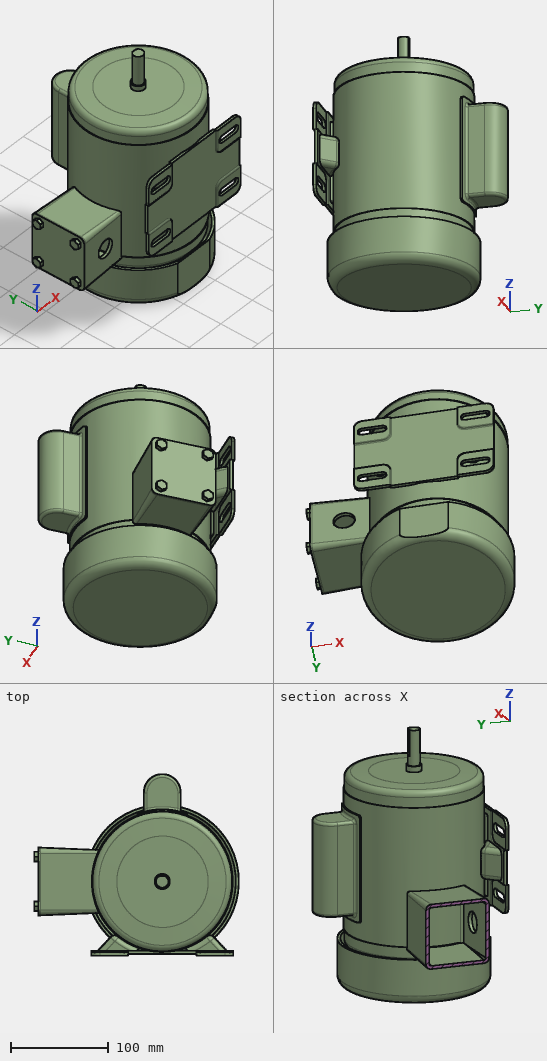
import cadquery as cq
import math


frame_radius = 72.4
frame_bottom = 59.8
frame_top = 209.1
bell_radius = 71.6
bell_straight = 11.3
bell_edge_height = 6.6
bell_cone_radius = 65.3
bell_cone_rise = 0.9
bell_face_radius = 46.9

shaft_radius = 6.35
shaft_top = 272.29
shaft_flat_offset = 5.5
shaft_flat_length = 28.0
collar_radius = 7.9
collar_top = 234.2

cover_radius = 78.7
cover_height = 48.3
cover_edge_radius = 9.8
cover_wall = 3.2
cover_flat_wall = 2.2
cover_flat_offset = 74.5

base_center_z = 136.0
base_width = 145.9
base_length = 101.6
base_corner_radius = 9.0
base_front_y = -74.4
base_thickness = 3.4
base_back_y = base_front_y + base_thickness
foot_front_y = -76.2
foot_drop = base_front_y - foot_front_y
foot_inner_x = 35.1
foot_inner_z = 18.7
foot_corner_radius = 8.5
foot_bend_radius = 0.85
slot_spacing_x = 108.0
slot_spacing_z = 69.85
slot_length = 30.0
slot_width = 9.3

saddle_length = 34.6
saddle_slope = 47.0
saddle_ridge_radius = 6.0
saddle_edge_radius = 5.8
saddle_foot_x = 66.1
strip_length = 87.6
strip_ridge_radius = 1.6
strip_edge_radius = 1.5
strip_foot_x = 26.0

box_center_z = 87.6
box_size = 69.8
box_corner_radius = 6.0
box_draft = 2.4
box_lid_outer_x = -127.1
box_lid_thickness = 2.0
box_wall = 4.0
box_inner_x = -68.0
conduit_hole_x = -91.5
conduit_hole_diameter = 22.4
screw_spacing = 50.8
screw_head_height = 4.4
screw_across_flats = 10.2
hex_sides = 6

cap_half_width = 19.0
cap_top_y = 110.24
cap_end_radius = 3.2
cap_flange_overhang = 6.8
cap_flange_thickness = 1.7
cap_flange_corner_radius = 3.5
cap_root_radius = 2.8

pick_margin = 0.1


def centered_box(x_size, z_size, y_from, y_to, x=0.0, z=base_center_z):
    """Block given by its X and Z sizes, its centre and its Y range."""
    block = cq.Workplane("XY").box(x_size, y_to - y_from, z_size)
    return block.translate((x, (y_from + y_to) / 2, z))


def end_bell():
    """Dished cap rising from Z = 0, with a rounded rim and a shallow conical face."""
    rim_z = bell_straight + bell_edge_height
    face_z = rim_z + bell_cone_rise
    arc_mid_x = bell_cone_radius + (bell_radius - bell_cone_radius) * math.sin(math.pi / 4)
    arc_mid_z = bell_straight + bell_edge_height * math.sin(math.pi / 4)
    return (
        cq.Workplane("XZ")
        .lineTo(bell_radius, 0)
        .lineTo(bell_radius, bell_straight)
        .threePointArc((arc_mid_x, arc_mid_z), (bell_cone_radius, rim_z))
        .lineTo(bell_face_radius, face_z)
        .lineTo(0, face_z)
        .close()
        .revolve(360, (0, 0, 0), (0, 1, 0))
    )


def frame():
    """Cylindrical frame with matching end bells at both ends."""
    barrel = (
        cq.Workplane("XY").workplane(offset=frame_bottom)
        .circle(frame_radius).extrude(frame_top - frame_bottom)
    )
    upper_bell = end_bell().translate((0, 0, frame_top))
    lower_bell = end_bell().mirror("XY").translate((0, 0, frame_bottom))
    return barrel.union(upper_bell).union(lower_bell)


def shaft():
    """Shaft and collar; the flat stops short of the collar."""
    body = (
        cq.Workplane("XY").workplane(offset=frame_top)
        .circle(shaft_radius).extrude(shaft_top - frame_top)
    )
    flat_cut = centered_box(
        2 * shaft_radius, shaft_flat_length, shaft_flat_offset, shaft_radius,
        z=shaft_top - shaft_flat_length / 2,
    )
    collar = (
        cq.Workplane("XY").workplane(offset=frame_top)
        .circle(collar_radius).extrude(collar_top - frame_top)
    )
    return body.cut(flat_cut).union(collar)


def foot_block(y_from, y_to, side_x, side_z, overrun):
    """Corner region of the base with a rounded inner corner; overrun extends its outer sides."""
    x_size = base_width / 2 - foot_inner_x + overrun
    z_size = base_length / 2 - foot_inner_z + overrun
    center_x = side_x * (foot_inner_x + x_size / 2)
    center_z = base_center_z + side_z * (foot_inner_z + z_size / 2)
    block = centered_box(x_size, z_size, y_from, y_to, center_x, center_z)
    inner_x = ">X" if side_x < 0 else "<X"
    inner_z = ">Z" if side_z < 0 else "<Z"
    return block.edges("|Y").edges(inner_x).edges(inner_z).fillet(foot_corner_radius)


def foot_step_edges(side, y):
    """Selector for the edges at height y where the feet on one side step away from the plate."""
    x_range = sorted((side * (foot_inner_x - pick_margin), side * (base_width / 2 - pick_margin)))
    return cq.selectors.BoxSelector(
        (x_range[0], y - pick_margin, base_center_z - base_length / 2),
        (x_range[1], y + pick_margin, base_center_z + base_length / 2),
    )


def mounting_base():
    """Plate whose four slotted corners are pressed down to form the feet."""
    corners = [(side_x, side_z) for side_x in (-1, 1) for side_z in (-1, 1)]
    plate = centered_box(base_width, base_length, base_front_y, base_back_y)
    for side_x, side_z in corners:
        foot = foot_block(foot_front_y, base_back_y, side_x, side_z, 0)
        inner_x = ">X" if side_x < 0 else "<X"
        inner_z = ">Z" if side_z < 0 else "<Z"
        bend = foot.faces("<Y").edges(f"{inner_x} or {inner_z} or %CIRCLE")
        plate = plate.union(bend.fillet(foot_bend_radius))
    for side_x, side_z in corners:
        recess = foot_block(base_back_y - foot_drop, base_back_y, side_x, side_z, 1)
        plate = plate.cut(recess)
    for y in (base_front_y, base_back_y):
        plate = plate.edges(foot_step_edges(-1, y) + foot_step_edges(1, y)).fillet(foot_bend_radius)
    outline = (
        centered_box(base_width, base_length, foot_front_y, base_back_y)
        .edges("|Y").fillet(base_corner_radius)
    )
    slots = (
        cq.Workplane("XZ", origin=(0, 0, base_center_z))
        .rect(slot_spacing_x, slot_spacing_z, forConstruction=True)
        .vertices().slot2D(slot_length, slot_width)
        .extrude(-foot_front_y)
    )
    return plate.intersect(outline).cut(slots)


def wedge(foot_x, length, ridge_radius, end_radius):
    """Cradle on the -X side that slopes up from the base to a rounded ridge on the frame.

    Its end faces round over into the slope, the ridge and the side that hugs the frame.
    """
    slope_angle = math.radians(saddle_slope)
    slope_run = frame_radius * math.cos(slope_angle)
    slope_rise = frame_radius * math.sin(slope_angle)
    barrel = cq.Workplane("XY").circle(frame_radius).extrude(frame_top)
    blank = (
        cq.Workplane("XY").workplane(offset=base_center_z)
        .moveTo(-foot_x, base_back_y)
        .lineTo(slope_run - foot_x, base_back_y + slope_rise)
        .lineTo(0, base_back_y)
        .close()
        .extrude(length / 2, both=True)
        .cut(barrel)
    )
    ridged = blank.edges("|Z").edges(">Y").fillet(ridge_radius)
    return ridged.faces("<Z or >Z").edges("not <Y").fillet(end_radius)


def saddle():
    """Sloped cradles and the low strips that run past them, on both sides of the frame."""
    cradle = wedge(saddle_foot_x, saddle_length, saddle_ridge_radius, saddle_edge_radius)
    strip = wedge(strip_foot_x, strip_length, strip_ridge_radius, strip_edge_radius)
    one_side = cradle.union(strip)
    return one_side.union(one_side.mirror("YZ"))


def drafted_box(size, corner_radius, start_x, end_x):
    """Rounded square block along +X that narrows towards the frame."""
    profile = cq.Sketch().rect(size, size).vertices().fillet(corner_radius)
    return (
        cq.Workplane("YZ", origin=(start_x, 0, box_center_z))
        .placeSketch(profile).extrude(end_x - start_x, taper=box_draft)
    )


def conduit_box():
    """Hollow drafted box with lid, four hex screws and a conduit hole in its -Y wall."""
    lid_inner_x = box_lid_outer_x + box_lid_thickness
    shell = drafted_box(box_size, box_corner_radius, lid_inner_x, 0)
    cavity = drafted_box(
        box_size - 2 * box_wall, box_corner_radius - box_wall, lid_inner_x, box_inner_x
    )
    hole = (
        cq.Workplane("XZ", origin=(conduit_hole_x, 0, box_center_z))
        .circle(conduit_hole_diameter / 2).extrude(box_size)
    )
    lid_profile = cq.Sketch().rect(box_size, box_size).vertices().fillet(box_corner_radius)
    lid = (
        cq.Workplane("YZ", origin=(box_lid_outer_x, 0, box_center_z))
        .placeSketch(lid_profile).extrude(box_lid_thickness)
    )
    across_corners = screw_across_flats / math.cos(math.pi / hex_sides)
    head = (
        cq.Workplane("YZ", origin=(box_lid_outer_x - screw_head_height, 0, box_center_z))
        .polygon(hex_sides, across_corners).extrude(screw_head_height)
        .rotate((0, 0, box_center_z), (1, 0, box_center_z), 180 / hex_sides)
    )
    box = shell.cut(cavity).cut(hole).union(lid)
    for y in (-screw_spacing / 2, screw_spacing / 2):
        for z in (-screw_spacing / 2, screw_spacing / 2):
            box = box.union(head.translate((0, y, z)))
    return box


def capacitor():
    """Round-topped capacitor housing on a flange that wraps the frame."""
    flange_radius = frame_radius + cap_flange_thickness
    arc_y = cap_top_y - cap_half_width
    housing = (
        cq.Workplane("XY").workplane(offset=base_center_z)
        .moveTo(-cap_half_width, 0)
        .lineTo(-cap_half_width, arc_y)
        .threePointArc((0, cap_top_y), (cap_half_width, arc_y))
        .lineTo(cap_half_width, 0)
        .close()
        .extrude(base_length / 2, both=True)
        .faces("<Z or >Z").edges("not <Y").fillet(cap_end_radius)
    )
    flange = (
        cq.Workplane("XY").workplane(offset=base_center_z)
        .circle(flange_radius).extrude(base_length, both=True)
        .intersect(
            centered_box(
                2 * (cap_half_width + cap_flange_overhang),
                base_length + 2 * cap_flange_overhang, 0, cap_top_y,
            )
            .edges("|Y").fillet(cap_flange_corner_radius)
        )
    )
    joined = flange.union(housing)
    root_x = cap_half_width + pick_margin
    root_low_y = math.sqrt(flange_radius ** 2 - cap_half_width ** 2) - pick_margin
    root_high_y = flange_radius + pick_margin
    root_z = base_length / 2 + pick_margin
    root = joined.edges(
        cq.selectors.BoxSelector(
            (-root_x, root_low_y, base_center_z - root_z),
            (root_x, root_high_y, base_center_z + root_z),
        )
    )
    return root.fillet(cap_root_radius)


def motor():
    """Everything except the fan cover, joined as one solid."""
    body = frame().union(shaft())
    for piece in (mounting_base(), saddle(), conduit_box(), capacitor()):
        body = body.union(piece)
    return body.solids()


def cup(radius, bottom_z, edge_radius, flat_offset):
    """Solid round cup with a rounded bottom edge and a flat on its -Y side."""
    blank = (
        cq.Workplane("XY").workplane(offset=bottom_z)
        .circle(radius).extrude(cover_height - bottom_z)
        .faces("<Z").edges().fillet(edge_radius)
    )
    keep = centered_box(
        2 * radius, 2 * cover_height, -flat_offset, radius, z=0
    )
    return blank.intersect(keep)


def fan_cover():
    """Thin-walled cup around the lower end bell, thinner at its flat to clear the bell."""
    outside = cup(cover_radius, 0, cover_edge_radius, cover_flat_offset)
    inside = cup(
        cover_radius - cover_wall, cover_wall,
        cover_edge_radius - cover_wall, cover_flat_offset - cover_flat_wall,
    )
    return outside.cut(inside).solids()


motor_body = motor()
cover_body = fan_cover()

result = cq.Compound.makeCompound([motor_body.val(), cover_body.val()])